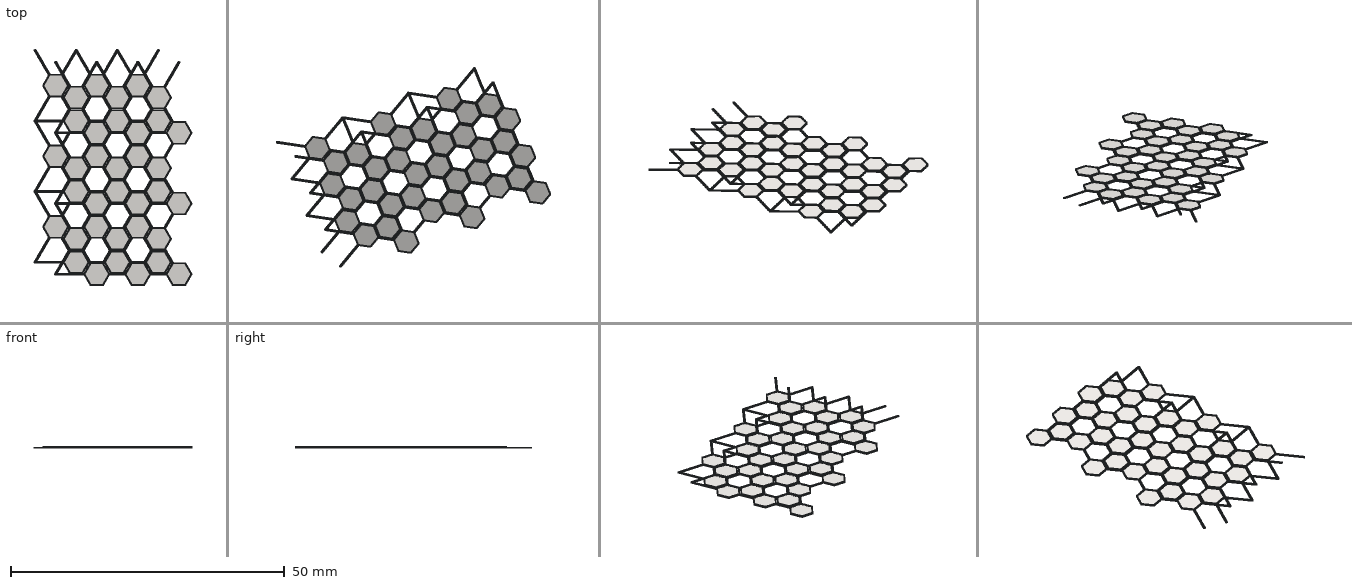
import cadquery as cq
import math

pitch = 7.515
row_rise = 6.456
columns = 3
row_pairs = 3
wire_width = 0.23
wire_thickness = 0.02
wire_overrun = 0.05
total_height = 0.2
tile_apothem = 1.993
upper_drop = 2.18

tile_across_corners = 4 * tile_apothem / math.sqrt(3)
pair_rise = 2 * row_rise
upper_shift = pitch / 2
lower_level = 0.0
upper_level = lower_level + wire_thickness


def wire(start, end, level):
    """Flat straight strip through two nodes."""
    dx = end[0] - start[0]
    dy = end[1] - start[1]
    middle = ((start[0] + end[0]) / 2, (start[1] + end[1]) / 2, level)
    return (
        cq.Workplane("XY")
        .rect(math.hypot(dx, dy) + 2 * wire_overrun, wire_width)
        .extrude(wire_thickness)
        .rotate((0, 0, 0), (0, 0, 1), math.degrees(math.atan2(dy, dx)))
        .translate(middle)
    )


def tile(x, y):
    """Hexagonal plate of full height, with corners pointing along X."""
    return cq.Workplane("XY").center(x, y).polygon(6, tile_across_corners).extrude(total_height)


def tile_grid(origin_x, origin_y, level):
    """One body: a net of wires that carries staggered rows of tiles."""
    pieces = []
    for pair in range(row_pairs):
        base_y = origin_y + pair * pair_rise
        top_y = base_y + pair_rise
        pieces.append(wire((origin_x, base_y), (origin_x + columns * pitch, base_y), level))
        for column in range(columns):
            left = origin_x + column * pitch
            right = left + pitch
            pieces.append(wire((left, base_y), (right, top_y), level))
            pieces.append(wire((right, base_y), (left, top_y), level))
            pieces.append(tile(right, base_y))
            pieces.append(tile(left + pitch / 2, base_y + row_rise))
    first, *others = [piece.val() for piece in pieces]
    return cq.Workplane(obj=first.fuse(*others).clean())


lower_grid = tile_grid(0, 0, lower_level)
upper_grid = tile_grid(upper_shift, -upper_drop, upper_level)

result = cq.Compound.makeCompound([*lower_grid.solids().vals(), *upper_grid.solids().vals()])